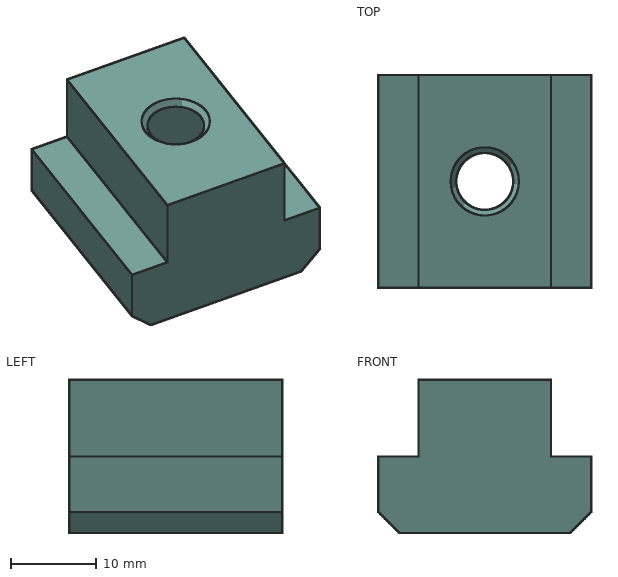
import cadquery as cq

width = 25.0
length = 25.0
height = 18.0

neck_width = 15.6
flange_height = height / 2
bottom_chamfer = 2.5

hole_diameter = 6.65
countersink_diameter = 8.0
countersink_angle = 90.0


def make_flange():
    """Wide lower block with both long bottom edges chamfered."""
    flange = cq.Workplane("XY").box(width, length, flange_height, centered=(True, True, False))
    return flange.faces("<Z").edges("|Y").chamfer(bottom_chamfer)


def make_neck():
    """Narrow upper block, centred on the flange."""
    neck = cq.Workplane("XY").box(
        neck_width, length, height - flange_height, centered=(True, True, False)
    )
    return neck.translate((0, 0, flange_height))


body = make_flange().union(make_neck())

result = (
    body.faces(">Z")
    .workplane(centerOption="CenterOfBoundBox")
    .cskHole(hole_diameter, countersink_diameter, countersink_angle)
)